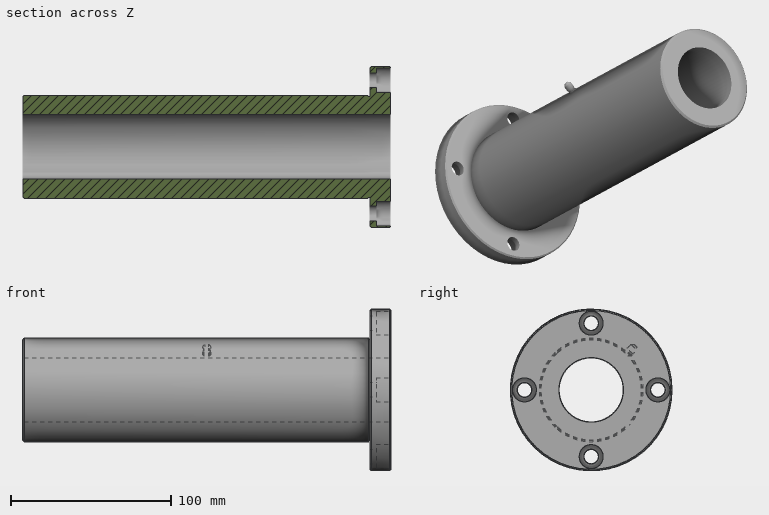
import cadquery as cq
import math

total_length = 230.0
flange_diameter = 101.0
flange_thickness = 13.0
flange_edge_chamfer = 1.0
tube_diameter = 64.9
tube_end_chamfer = 1.2
bore_diameter = 40.0

relief_width = 1.0
relief_depth = 0.7

bolt_hole_count = 4
bolt_hole_diameter = 9.0
bolt_circle_diameter = 83.3
counterbore_diameter = 15.0
counterbore_depth = 9.0

nipple_position = total_length / 2
nipple_tilt = 45.0
nipple_root_depth = 2.3
nipple_base_diameter = 5.5
nipple_base_height = 0.7
nipple_neck_diameter = 4.4
nipple_neck_height = 1.2
nipple_head_diameter = 5.0
nipple_head_height = 4.8
nipple_head_chamfer = 1.4

tube_radius = tube_diameter / 2
flange_start = total_length - flange_thickness


def cylinder_along_x(start, length, diameter):
    return cq.Workplane("YZ", origin=(start, 0, 0)).circle(diameter / 2).extrude(length)


def make_tube():
    tube = cylinder_along_x(0, flange_start, tube_diameter)
    tube = tube.faces("<X").chamfer(tube_end_chamfer)
    relief = cylinder_along_x(flange_start - relief_width, relief_width, tube_diameter)
    relief_core = cylinder_along_x(
        flange_start - relief_width, relief_width, tube_diameter - 2 * relief_depth
    )
    return tube.cut(relief.cut(relief_core))


def make_flange():
    flange = cylinder_along_x(flange_start, flange_thickness, flange_diameter)
    flange = flange.edges().chamfer(flange_edge_chamfer)
    return (
        flange.faces(">X")
        .workplane(origin=(total_length, 0, 0))
        .polarArray(bolt_circle_diameter / 2, 0, 360, bolt_hole_count)
        .cboreHole(bolt_hole_diameter, counterbore_diameter, counterbore_depth)
    )


def make_nipple():
    """Stack the stepped nipple outward along its own axis, rooted in the tube wall."""
    tilt = math.radians(nipple_tilt)
    outward = cq.Vector(0, math.sin(tilt), math.cos(tilt))
    root = cq.Vector(nipple_position, 0, 0) + outward * (tube_radius - nipple_root_depth)
    plane = cq.Plane(origin=root.toTuple(), xDir=(1, 0, 0), normal=outward.toTuple())
    neck_start = nipple_root_depth + nipple_base_height
    head_start = neck_start + nipple_neck_height
    base = cq.Workplane(plane).circle(nipple_base_diameter / 2).extrude(neck_start)
    neck = (
        cq.Workplane(plane)
        .workplane(offset=neck_start)
        .circle(nipple_neck_diameter / 2)
        .extrude(nipple_neck_height)
    )
    head = (
        cq.Workplane(plane)
        .workplane(offset=head_start)
        .circle(nipple_head_diameter / 2)
        .extrude(nipple_head_height)
        .faces(cq.selectors.DirectionMinMaxSelector(outward))
        .chamfer(nipple_head_chamfer)
    )
    return base.union(neck).union(head)


bore = cylinder_along_x(0, total_length, bore_diameter)
result = make_tube().union(make_flange()).cut(bore).union(make_nipple())